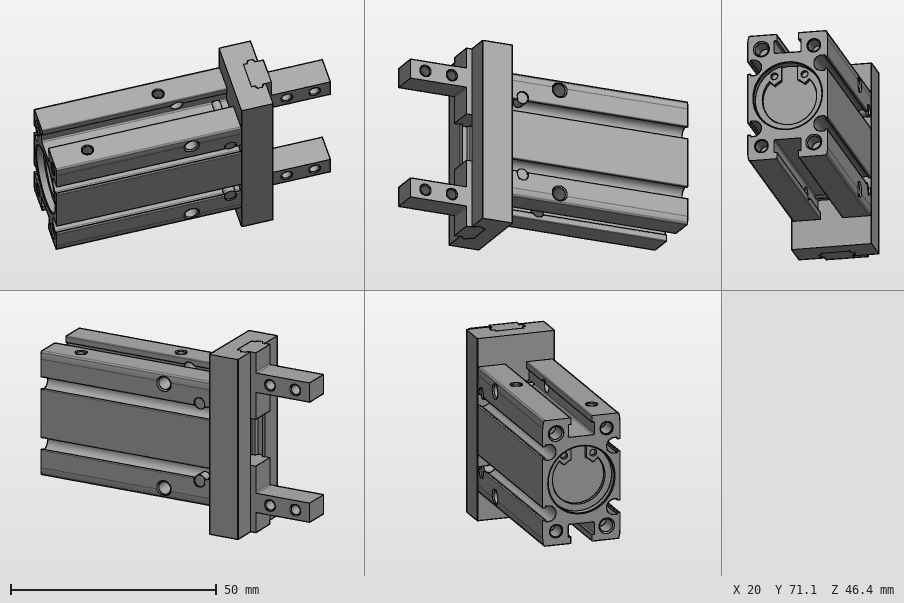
import cadquery as cq
import math


total_length = 71.1
width = 20.0
overlap = 0.7

head_height = 46.4
head_front_y = 54.75
head_thickness = 7.95
head_chamfer = 0.15
head_rear_y = head_front_y - head_thickness

body_height = 32.0
body_edge_radius = 0.4
shoulder_z = 14.0
shoulder_drop = 0.2

slot_mouth_width = 5.4
slot_mouth_radius = 0.2
slot_inner_width = 6.7
slot_lip_thickness = 1.6
slot_lip_radius = 0.2
slot_depth = 4.9
slot_corner_radius = 0.35

groove_x = 8.5
groove_z = 7.8
groove_diameter = 4.0
groove_mouth = 3.1
groove_mouth_radius = 0.15
groove_lip_thickness = 0.8
groove_lip_chamfer = 0.15

pin_diameter = 3.0
pin_y = 44.0
pin_z = 10.0
pin_recess = 0.4

bore_diameter = 17.0
bore_chamfer = 0.2
bore_depth = 2.9
ring_depth = 1.9
ring_thickness = bore_depth - ring_depth
ring_inner_diameter = 13.6
lug_inner_radius = 5.1
lug_end_angle = 43.0
ring_gap = 4.05
lug_hole_diameter = 1.7
lug_hole_x = 3.8
lug_hole_z = 5.9

rear_hole_x = 6.55
rear_hole_z = 12.45
rear_hole_depth = 5.0
wide_hole_diameter = 3.3
wide_hole_mouth = 4.0
narrow_hole_diameter = 3.0
narrow_hole_mouth = 3.4
side_hole_y = 34.2
side_hole_z = 13.5
port_diameter = 2.5
port_mouth = 3.0
port_depth = 3.0
port_x = 5.9
port_rear_y = 8.95
port_front_y = 30.2

finger_width = 7.1
finger_inner_z = 6.05
finger_base_front_y = 56.2
finger_base_rear_y = 51.1
bar_height = 5.0
bar_z = 15.5
bar_fillet = 0.3
wing_width = 8.8
wing_y = 53.05
finger_wing_root = 2.0
finger_wing_tip = 1.15
guide_wing_root = 2.1
guide_wing_tip = 1.3
finger_hole_diameter = 2.5
finger_hole_mouth = 3.0
finger_hole_setbacks = (4.0, 11.0)


def cylinder(start, direction, diameter, length):
    return cq.Solid.makeCylinder(diameter / 2, length, cq.Vector(*start), cq.Vector(*direction))


def countersink_cone(mouth_centre, direction, diameter, mouth):
    """Tool for a 45 degree countersink; it keeps widening a little way outside the mouth."""
    sink = (mouth - diameter) / 2
    axis = cq.Vector(*direction)
    start = cq.Vector(*mouth_centre) - axis * overlap
    return cq.Solid.makeCone(mouth / 2 + overlap, diameter / 2, sink + overlap, start, axis)


def chamfered_hole(mouth_centre, direction, diameter, mouth, depth):
    """Tool for a flat-bottomed hole with a countersunk mouth."""
    hole = cylinder(mouth_centre, direction, diameter, depth)
    return hole.fuse(countersink_cone(mouth_centre, direction, diameter, mouth))


def rail_section(wing_root, wing_tip, rear_y, front_y):
    """Outline in XY of the finger rail: a straight neck with a tapered wing on each side."""
    neck = finger_width / 2
    wing = wing_width / 2
    right_side = [
        (neck, rear_y),
        (neck, wing_y - wing_root / 2),
        (wing, wing_y - wing_tip / 2),
        (wing, wing_y + wing_tip / 2),
        (neck, wing_y + wing_root / 2),
        (neck, front_y),
    ]
    left_side = [(-x, y) for x, y in reversed(right_side)]
    return cq.Workplane("XY").polyline(right_side + left_side).close()


def make_head():
    head = (
        cq.Workplane("XY")
        .box(width, head_thickness, head_height)
        .translate((0, head_rear_y + head_thickness / 2, 0))
        .edges("|Z")
        .chamfer(head_chamfer)
    )
    guide = rail_section(guide_wing_root, guide_wing_tip, finger_base_rear_y, head_front_y + overlap)
    return head.cut(guide.extrude(head_height / 2 + overlap, both=True))


def make_body_blank():
    side_x = width / 2
    shoulder_x = side_x - shoulder_drop
    top_z = body_height / 2
    edge_z = top_z - body_edge_radius
    top_x = shoulder_x - body_edge_radius
    shoulder_rise = edge_z - shoulder_z
    shoulder_radius = (shoulder_rise**2 + shoulder_drop**2) / (2 * shoulder_drop)
    return (
        cq.Workplane("XZ")
        .moveTo(-side_x, -shoulder_z)
        .lineTo(-side_x, shoulder_z)
        .radiusArc((-shoulder_x, edge_z), shoulder_radius)
        .radiusArc((-top_x, top_z), body_edge_radius)
        .lineTo(top_x, top_z)
        .radiusArc((shoulder_x, edge_z), body_edge_radius)
        .radiusArc((side_x, shoulder_z), shoulder_radius)
        .lineTo(side_x, -shoulder_z)
        .radiusArc((shoulder_x, -edge_z), shoulder_radius)
        .radiusArc((top_x, -top_z), body_edge_radius)
        .lineTo(-top_x, -top_z)
        .radiusArc((-shoulder_x, -edge_z), body_edge_radius)
        .radiusArc((-side_x, -shoulder_z), shoulder_radius)
        .close()
        .extrude(-head_rear_y)
    )


def make_t_slot():
    """Tool for the T-slot in the top face."""
    top_z = body_height / 2
    mouth = slot_mouth_width / 2
    inner = slot_inner_width / 2
    floor_z = top_z - slot_depth
    lip_z = top_z - slot_lip_thickness
    lip_round = slot_lip_radius
    corner = slot_corner_radius
    return (
        cq.Workplane("XZ")
        .moveTo(-mouth - slot_mouth_radius, top_z)
        .radiusArc((-mouth, top_z - slot_mouth_radius), slot_mouth_radius)
        .lineTo(-mouth, lip_z)
        .lineTo(-inner + lip_round, lip_z)
        .radiusArc((-inner, lip_z - lip_round), -lip_round)
        .lineTo(-inner, floor_z + corner)
        .radiusArc((-inner + corner, floor_z), -corner)
        .lineTo(inner - corner, floor_z)
        .radiusArc((inner, floor_z + corner), -corner)
        .lineTo(inner, lip_z - lip_round)
        .radiusArc((inner - lip_round, lip_z), -lip_round)
        .lineTo(mouth, lip_z)
        .lineTo(mouth, top_z - slot_mouth_radius)
        .radiusArc((mouth + slot_mouth_radius, top_z), slot_mouth_radius)
        .close()
        .extrude(-head_rear_y)
    )


def make_groove():
    """Tool for the upper groove on the +X side: a round-bottomed channel behind a narrower mouth."""
    radius = groove_diameter / 2
    mouth = groove_mouth / 2
    side_x = width / 2
    rounded = groove_mouth_radius
    lip_x = side_x - groove_lip_thickness
    return (
        cq.Workplane("XZ", origin=(0, 0, groove_z))
        .moveTo(side_x, -mouth - rounded)
        .radiusArc((side_x - rounded, -mouth), -rounded)
        .lineTo(lip_x + groove_lip_chamfer, -mouth)
        .lineTo(lip_x, -radius)
        .lineTo(groove_x, -radius)
        .threePointArc((groove_x - radius, 0), (groove_x, radius))
        .lineTo(lip_x, radius)
        .lineTo(lip_x + groove_lip_chamfer, mouth)
        .lineTo(side_x - rounded, mouth)
        .radiusArc((side_x, mouth + rounded), -rounded)
        .close()
        .extrude(-head_rear_y)
    )


def make_bore():
    bore = chamfered_hole((0, 0, 0), (0, 1, 0), bore_diameter, bore_diameter + 2 * bore_chamfer, bore_depth)
    return cq.Workplane(bore)


def make_retaining_ring():
    """Internal ring seated on the bore floor, open at the top between two drilled lugs."""
    inner_radius = ring_inner_diameter / 2
    angle = math.radians(lug_end_angle)
    lug_x = inner_radius * math.cos(angle)
    lug_z = inner_radius * math.sin(angle)
    lug_wedge = (
        cq.Workplane("XZ", origin=(0, ring_depth, 0))
        .polyline([(0, 0), (lug_x, lug_z), (0, bore_diameter), (-lug_x, lug_z)])
        .close()
        .extrude(-ring_thickness)
    )
    start = cq.Workplane("XZ", origin=(0, ring_depth, 0))
    disc = start.circle(bore_diameter / 2).extrude(-ring_thickness)
    ring = disc.cut(start.circle(inner_radius).extrude(-ring_thickness))
    lugs = disc.intersect(lug_wedge).cut(start.circle(lug_inner_radius).extrude(-ring_thickness))
    gap = start.center(0, bore_diameter / 2).rect(ring_gap, bore_diameter).extrude(-ring_thickness)
    lug_holes = (
        cq.Workplane("XZ", origin=(0, ring_depth, 0))
        .pushPoints([(-lug_hole_x, lug_hole_z), (lug_hole_x, lug_hole_z)])
        .circle(lug_hole_diameter / 2)
        .extrude(-ring_thickness)
    )
    return ring.union(lugs).cut(gap).cut(lug_holes)


def make_housing():
    body = make_body_blank()

    for level in (-1, 1):
        z = level * side_hole_z
        through_start = (-width / 2 - overlap, side_hole_y, z)
        through_hole = cylinder(through_start, (1, 0, 0), wide_hole_diameter, width + 2 * overlap)
        body = body.cut(cq.Workplane(through_hole))
        for side in (-1, 1):
            mouth_centre = (side * width / 2, side_hole_y, z)
            countersink = countersink_cone(mouth_centre, (-side, 0, 0), wide_hole_diameter, wide_hole_mouth)
            body = body.cut(cq.Workplane(countersink))

    slot = make_t_slot()
    body = body.cut(slot).cut(slot.mirror("XY"))
    right_groove = make_groove()
    for groove in (right_groove, right_groove.mirror("YZ")):
        body = body.cut(groove).cut(groove.mirror("XY"))

    pin_length = width - 2 * pin_recess
    for level in (-1, 1):
        z = level * pin_z
        pin = cylinder((-pin_length / 2, pin_y, z), (1, 0, 0), pin_diameter, pin_length)
        body = body.union(cq.Workplane(pin))
        for side in (-1, 1):
            recess_tool_length = pin_recess + overlap
            start = (side * pin_length / 2, pin_y, z)
            hole = cylinder(start, (side, 0, 0), pin_diameter, recess_tool_length)
            body = body.cut(cq.Workplane(hole))

    body = body.cut(make_bore()).union(make_retaining_ring())

    for side in (-1, 1):
        for level in (-1, 1):
            is_wide = side != level
            diameter = wide_hole_diameter if is_wide else narrow_hole_diameter
            mouth = wide_hole_mouth if is_wide else narrow_hole_mouth
            centre = (side * rear_hole_x, 0, level * rear_hole_z)
            body = body.cut(cq.Workplane(chamfered_hole(centre, (0, 1, 0), diameter, mouth, rear_hole_depth)))

    for x, y in ((port_x, port_rear_y), (-port_x, port_front_y)):
        port = chamfered_hole((x, y, body_height / 2), (0, 0, -1), port_diameter, port_mouth, port_depth)
        body = body.cut(cq.Workplane(port))

    return body.union(make_head())


def make_upper_finger():
    base_height = head_height / 2 - finger_inner_z
    base = (
        rail_section(finger_wing_root, finger_wing_tip, finger_base_rear_y, finger_base_front_y)
        .extrude(base_height)
        .translate((0, 0, finger_inner_z))
    )
    bar_length = total_length - finger_base_front_y
    bar = (
        cq.Workplane("XY")
        .box(finger_width, bar_length, bar_height)
        .translate((0, finger_base_front_y + bar_length / 2, bar_z))
    )
    finger = base.union(bar)
    root_edges = cq.selectors.BoxSelector(
        (-finger_width, finger_base_front_y - bar_fillet, bar_z - bar_height),
        (finger_width, finger_base_front_y + bar_fillet, bar_z + bar_height),
    )
    finger = finger.edges("|X").edges(root_edges).fillet(bar_fillet)

    for setback in finger_hole_setbacks:
        for side in (-1, 1):
            centre = (side * finger_width / 2, total_length - setback, bar_z)
            depth = finger_width / 2
            hole = chamfered_hole(centre, (-side, 0, 0), finger_hole_diameter, finger_hole_mouth, depth)
            finger = finger.cut(cq.Workplane(hole))
    return finger


housing = make_housing()
upper_finger = make_upper_finger()
fingers = [upper_finger, upper_finger.mirror("XY")]

result = cq.Compound.makeCompound([housing.val(), *[finger.val() for finger in fingers]])